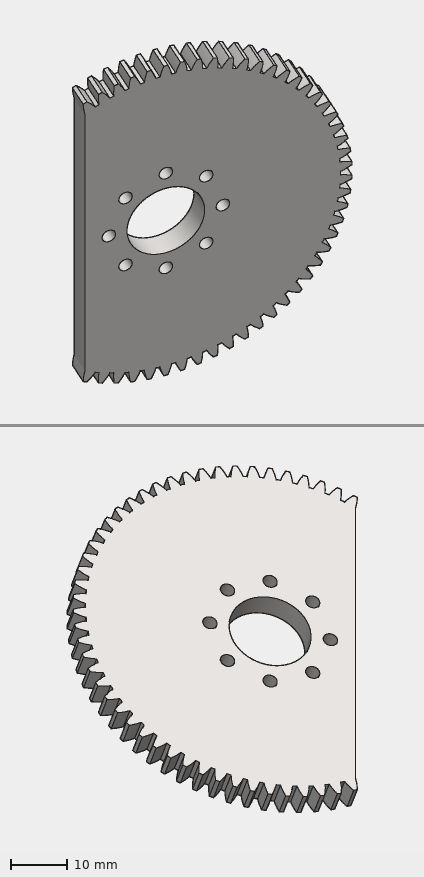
import cadquery as cq
import math

outer_diameter = 72.0
full_tooth_count = 70
pressure_angle = math.radians(20)
dedendum_factor = 1.25
thickness = 5.0

extra_teeth_each_end = 5

bore_diameter = 15.0
bolt_hole_diameter = 2.6
bolt_circle_diameter = 22.0
bolt_hole_count = 8

module = outer_diameter / (full_tooth_count + 2)
tip_radius = outer_diameter / 2
pitch_radius = module * full_tooth_count / 2
root_radius = pitch_radius - dedendum_factor * module
base_radius = pitch_radius * math.cos(pressure_angle)
tooth_pitch = 2 * math.pi / full_tooth_count
first_tooth = -extra_teeth_each_end
last_tooth = full_tooth_count // 2 + extra_teeth_each_end
flank_steps = 4


def involute(angle):
    return math.tan(angle) - angle


def half_tooth_angle(radius):
    """Half the angle a tooth spans at the given radius, from the involute of the base circle."""
    local_pressure_angle = math.acos(base_radius / radius)
    return tooth_pitch / 4 + involute(pressure_angle) - involute(local_pressure_angle)


def polar(radius, angle):
    """Point in the YZ plane, with the angle measured from +Z towards +Y."""
    return (radius * math.sin(angle), radius * math.cos(angle))


def flank(centre_angle, side):
    """Points up one tooth flank, from root to tip; side is -1 or +1."""
    radii = [
        root_radius + (tip_radius - root_radius) * step / flank_steps
        for step in range(flank_steps + 1)
    ]
    return [polar(radius, centre_angle + side * half_tooth_angle(radius)) for radius in radii]


def gear_sector():
    """Toothed sector, closed by a flat between the roots of its two end teeth."""
    start = polar(root_radius, first_tooth * tooth_pitch - half_tooth_angle(root_radius))
    outline = cq.Workplane("YZ").moveTo(*start)
    for tooth in range(first_tooth, last_tooth + 1):
        centre_angle = tooth * tooth_pitch
        rising = flank(centre_angle, -1)
        falling = flank(centre_angle, 1)[::-1]
        outline = outline.spline(rising[1:], includeCurrent=True)
        outline = outline.threePointArc(polar(tip_radius, centre_angle), falling[0])
        outline = outline.spline(falling[1:], includeCurrent=True)
        if tooth < last_tooth:
            gap_middle = polar(root_radius, centre_angle + tooth_pitch / 2)
            next_root = flank(centre_angle + tooth_pitch, -1)[0]
            outline = outline.threePointArc(gap_middle, next_root)
    return outline.close().extrude(thickness)


def bore():
    return cq.Workplane("YZ").circle(bore_diameter / 2).extrude(thickness)


def bolt_holes():
    return (
        cq.Workplane("YZ")
        .polarArray(bolt_circle_diameter / 2, 0, 360, bolt_hole_count)
        .circle(bolt_hole_diameter / 2)
        .extrude(thickness)
    )


result = gear_sector().cut(bore()).cut(bolt_holes())